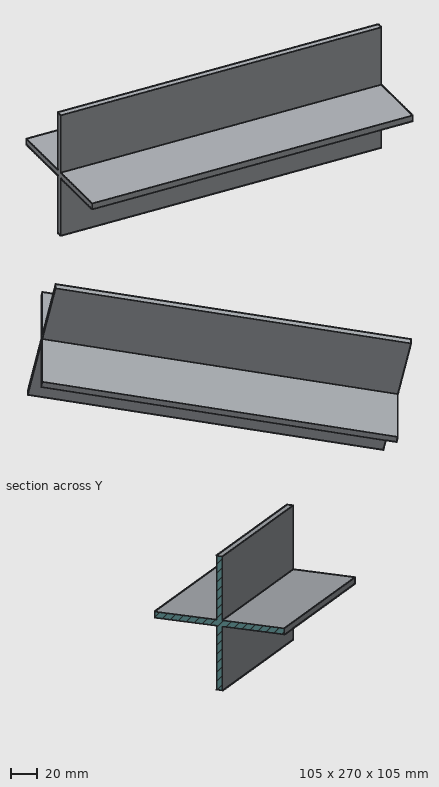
import cadquery as cq

length = 270.0
plate_width = 105.0
plate_thickness = 5.0

horizontal_plate = cq.Workplane("XY").box(plate_width, length, plate_thickness)
vertical_plate = cq.Workplane("XY").box(plate_thickness, length, plate_width)

result = horizontal_plate.union(vertical_plate)